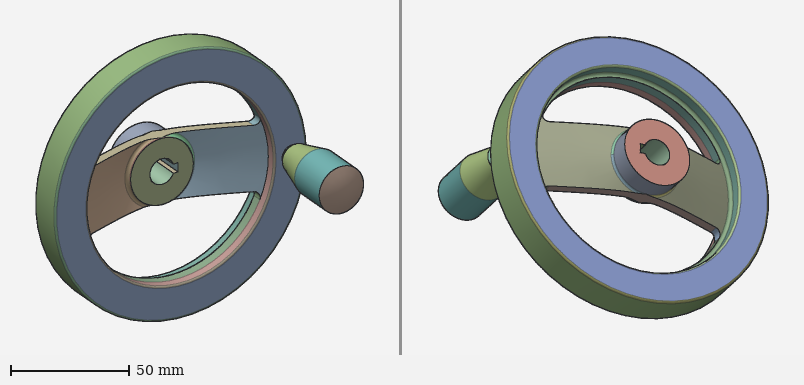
import cadquery as cq
import math

rim_diameter = 125.0
rim_inner_diameter = 96.4
rim_front = 17.1
rim_width = 16.4
rim_back = rim_front + rim_width
rim_edge_radius = 0.9

hub_diameter = 31.0
hub_back = 18.0
bore_diameter = 12.0
keyway_width = 4.3
keyway_reach = 8.0

web_slope = 0.427
web_front_at_hub = 10.5
web_thickness = 4.9
web_fillet = 1.3
window_diameter = 92.5
spoke_width = hub_diameter
window_corner_radius = 2.6
window_overrun = 1.3

overall_depth = 128.8
handle_diameter = 22.0
handle_y = overall_depth - rim_diameter / 2 - handle_diameter / 2
neck_diameter = 10.5
neck_embed = 1.3
cone_start_diameter = 13.4
neck_length = 2.6
cone_start = rim_back + neck_length
cone_end = 53.2
grip_end = 73.2
handle_end = 76.0


def along_x(x):
    """Sketch plane at X = x, facing +X, with local axes Y and Z."""
    return cq.Workplane("YZ", origin=(x, 0, 0))


def web_front(radius):
    """X of the front of the conical web at a given radius."""
    return web_front_at_hub + web_slope * (radius - hub_diameter / 2)


def circle_at(x, radius):
    """Selector for the circular edge around the wheel axis at X = x with the given radius."""
    margin = 0.1
    reach = radius + margin
    return cq.selectors.BoxSelector(
        (x - margin, -reach, -reach), (x + margin, reach, reach), boundingbox=True
    ) - cq.selectors.BoxSelector(
        (x - margin, margin - radius, margin - radius),
        (x + margin, radius - margin, radius - margin),
        boundingbox=True,
    )


def make_wheel():
    """Hub, closed web and rim turned in one piece."""
    hub_radius = hub_diameter / 2
    rim_radius = rim_diameter / 2
    front_bore_radius = rim_inner_diameter / 2
    back_bore_radius = window_diameter / 2
    web_front_at_rim = web_front(front_bore_radius)
    web_back_at_hub = web_front(hub_radius) + web_thickness
    web_back_at_rim = web_front(back_bore_radius) + web_thickness
    wheel = (
        cq.Workplane("XY")
        .moveTo(0, 0)
        .lineTo(0, hub_radius)
        .lineTo(web_front_at_hub, hub_radius)
        .lineTo(web_front_at_rim, front_bore_radius)
        .lineTo(rim_front, front_bore_radius)
        .lineTo(rim_front, rim_radius)
        .lineTo(rim_back, rim_radius)
        .lineTo(rim_back, back_bore_radius)
        .lineTo(web_back_at_rim, back_bore_radius)
        .lineTo(web_back_at_hub, hub_radius)
        .lineTo(hub_back, hub_radius)
        .lineTo(hub_back, 0)
        .close()
        .revolve(360, (0, 0, 0), (1, 0, 0))
    )
    web_corners = (
        (web_front_at_hub, hub_radius),
        (web_back_at_hub, hub_radius),
        (web_front_at_rim, front_bore_radius),
    )
    rim_corners = (
        (rim_front, front_bore_radius),
        (rim_front, rim_radius),
        (rim_back, rim_radius),
        (rim_back, back_bore_radius),
    )
    for x, radius in web_corners:
        wheel = wheel.edges(circle_at(x, radius)).fillet(web_fillet)
    for x, radius in rim_corners:
        wheel = wheel.edges(circle_at(x, radius)).fillet(rim_edge_radius)
    return wheel


def make_window(side):
    """Segment-shaped opening above (side = 1) or below (side = -1) the spoke."""
    radius = window_diameter / 2
    half_spoke = spoke_width / 2
    half_chord = math.sqrt(radius**2 - half_spoke**2)
    return (
        along_x(0)
        .moveTo(-half_chord, side * half_spoke)
        .threePointArc((0, side * radius), (half_chord, side * half_spoke))
        .close()
        .extrude(rim_back + window_overrun)
        .edges("|X")
        .fillet(window_corner_radius)
    )


def make_handle():
    grip_radius = handle_diameter / 2
    dome_height = handle_end - grip_end
    dome_radius = (grip_radius**2 + dome_height**2) / (2 * dome_height)
    half_radius = grip_radius / 2
    dome_mid_x = handle_end - dome_radius + math.sqrt(dome_radius**2 - half_radius**2)
    return (
        cq.Workplane("XY")
        .moveTo(rim_back - neck_embed, 0)
        .lineTo(rim_back - neck_embed, neck_diameter / 2)
        .lineTo(cone_start, neck_diameter / 2)
        .lineTo(cone_start, cone_start_diameter / 2)
        .lineTo(cone_end, grip_radius)
        .lineTo(grip_end, grip_radius)
        .threePointArc((dome_mid_x, half_radius), (handle_end, 0))
        .close()
        .revolve(360, (0, 0, 0), (1, 0, 0))
        .translate((0, handle_y, 0))
    )


body = make_wheel()
for side in (1, -1):
    body = body.cut(make_window(side))

bore = along_x(0).circle(bore_diameter / 2).extrude(hub_back)
keyway = along_x(0).center(keyway_reach / 2, 0).rect(keyway_reach, keyway_width).extrude(hub_back)

result = body.union(make_handle()).cut(bore).cut(keyway)